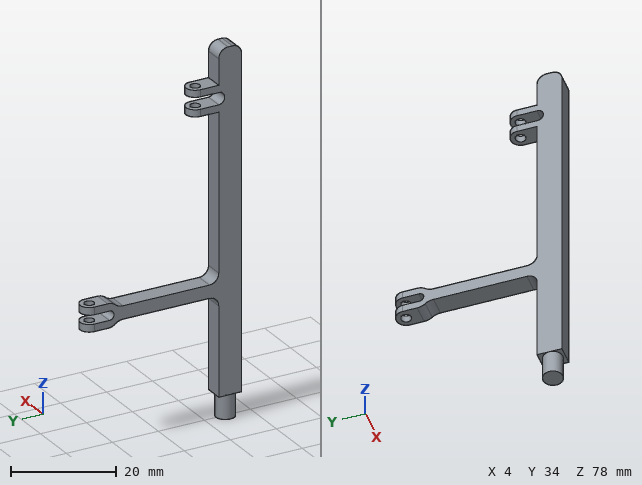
import cadquery as cq

total_height = 78.0
total_depth = 34.0
width = 4.0
bar_depth = 5.0
bar_top_radius = 2.0
peg_diameter = 4.0
peg_length = 5.15
bar_face = bar_depth / 2
overlap = bar_depth / 2

lug_end_radius = width / 2
pin_hole_diameter = 2.0

short_fork_z = 67.6
short_fork_height = 5.6
short_fork_reach = 6.0
short_slot_gap = 2.6
short_slot_depth = short_fork_reach + short_slot_gap / 2

arm_z = 27.7
arm_thickness = 2.8
arm_reach = total_depth - bar_depth
arm_root_radius = 2.0
arm_fork_height = 5.15
arm_slot_gap = 1.95
arm_slot_depth = 6.25
arm_fork_flat = 4.9
arm_taper_length = 3.3


def extrude_across(profile):
    """Extrude a YZ profile symmetrically over the full width."""
    return profile.extrude(width / 2, both=True)


def make_bar():
    height = total_height - peg_length
    bar = (
        cq.Workplane("XY")
        .workplane(offset=peg_length)
        .rect(width, bar_depth)
        .extrude(height)
        .faces(">Z")
        .edges("|X")
        .fillet(bar_top_radius)
    )
    peg = cq.Workplane("XY").circle(peg_diameter / 2).extrude(peg_length)
    return bar.union(peg)


def make_short_blank():
    length = short_fork_reach + overlap
    center_y = bar_face + short_fork_reach - length / 2
    profile = cq.Workplane("YZ").center(center_y, short_fork_z).rect(length, short_fork_height)
    return extrude_across(profile)


def make_arm_blank():
    """Arm with an S-shaped transition of two tangent arcs on each side of the fork."""
    tip = bar_face + arm_reach
    fork_end = tip - arm_fork_flat
    taper_mid = fork_end - arm_taper_length / 2
    taper_end = fork_end - arm_taper_length
    half_arm = arm_thickness / 2
    half_fork = arm_fork_height / 2
    half_mid = (half_arm + half_fork) / 2
    profile = (
        cq.Workplane("YZ")
        .center(0, arm_z)
        .moveTo(0, half_arm)
        .lineTo(taper_end, half_arm)
        .tangentArcPoint((taper_mid, half_mid), relative=False)
        .tangentArcPoint((fork_end, half_fork), relative=False)
        .lineTo(tip, half_fork)
        .lineTo(tip, -half_fork)
        .lineTo(fork_end, -half_fork)
        .tangentArcPoint((taper_mid, -half_mid), relative=False)
        .tangentArcPoint((taper_end, -half_arm), relative=False)
        .lineTo(0, -half_arm)
        .close()
    )
    return extrude_across(profile)


def make_fork(blank, tip, center_z, height, gap, depth):
    """Return the blank with a rounded, drilled end, and the round-ended slot to cut from it."""
    pin_y = tip - lug_end_radius
    bottom_z = center_z - height / 2
    slot_length = 2 * depth
    slot = extrude_across(cq.Workplane("YZ").center(tip, center_z).slot2D(slot_length, gap))
    hole = (
        cq.Workplane("XY", origin=(0, pin_y, bottom_z))
        .circle(pin_hole_diameter / 2)
        .extrude(height)
    )
    envelope = (
        cq.Workplane("XY", origin=(0, 0, bottom_z))
        .moveTo(-width / 2, 0)
        .lineTo(-width / 2, pin_y)
        .threePointArc((0, tip), (width / 2, pin_y))
        .lineTo(width / 2, 0)
        .close()
        .extrude(height)
    )
    return blank.intersect(envelope).cut(hole), slot


def fillet_arm_root(body):
    """Fillet the two inside corners where the arm leaves the bar."""
    margin = 0.1
    half_box = arm_thickness / 2 + margin
    corners = cq.selectors.BoxSelector(
        (-width, bar_face - margin, arm_z - half_box),
        (width, bar_face + margin, arm_z + half_box),
    )
    return body.edges("|X").edges(corners).fillet(arm_root_radius)


short_fork, short_slot = make_fork(
    make_short_blank(),
    bar_face + short_fork_reach,
    short_fork_z,
    short_fork_height,
    short_slot_gap,
    short_slot_depth,
)
arm, arm_slot = make_fork(
    make_arm_blank(),
    bar_face + arm_reach,
    arm_z,
    arm_fork_height,
    arm_slot_gap,
    arm_slot_depth,
)

body = make_bar().union(arm)
body = fillet_arm_root(body)
result = body.union(short_fork).cut(short_slot).cut(arm_slot)